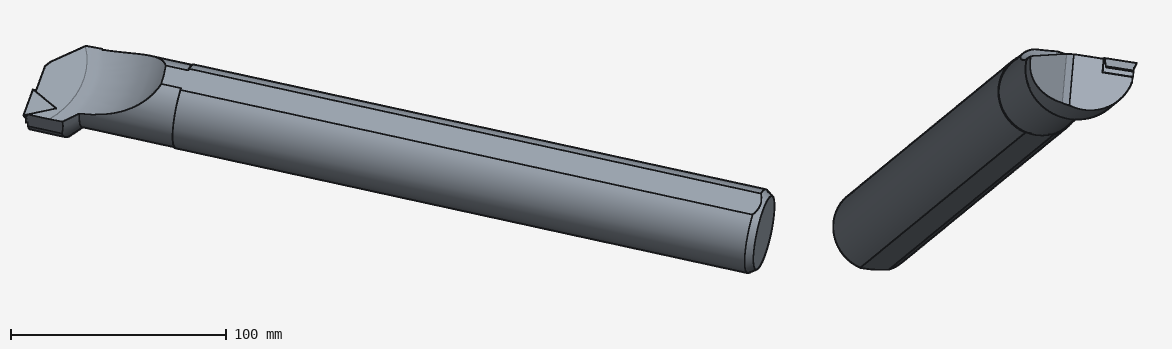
import cadquery as cq
import math

length = 350.0
shank_radius = 20.0
neck_radius = 19.5
shank_start = 70.0
flat_height = 18.72
end_chamfer_length = 3.5
end_chamfer_depth = 2.5

head_front = 1.58
head_radius = 23.28
head_offset = shank_radius - head_radius
cone_end = 25.0
head_reach = head_radius - head_offset
rake_tilt = 5.0
rake_height = 2.8

scoop_start = 21.0
scoop_radius = 56.0
scoop_angle = 55.0
scoop_sweep_radius = 42.0
scoop_turn = 120.0

corner_y = 3.0
strip_run = 1.8
strip_rise = 3.0
corner_far = 42.0

insert_side = 15.8
insert_height = insert_side * math.sqrt(3) / 2
tip_y = -27.0
insert_thickness = 4.2
insert_relief = 11.0
pad_front = 0.7
pad_depth = 6.5
side_facet_y = -26.0

clearance = 105.0


def rake_plane(x=0.0):
    """Plane of the rake face, with its origin straight above the bar axis."""
    tilt = math.radians(rake_tilt)
    return cq.Plane((x, 0, rake_height), (1, 0, 0), (0, -math.sin(tilt), math.cos(tilt)))


def rod(x_start, x_end, radius, y=0.0):
    return cq.Workplane("YZ", origin=(x_start, y, 0)).circle(radius).extrude(x_end - x_start)


def make_shank():
    profile = [
        (shank_start, 0),
        (shank_start, shank_radius),
        (length - end_chamfer_length, shank_radius),
        (length, shank_radius - end_chamfer_depth),
        (length, 0),
    ]
    shank = cq.Workplane("XY").polyline(profile).close().revolve(360, (0, 0), (1, 0))
    flats = cq.Workplane("XY").box(2 * length, clearance, 2 * flat_height)
    return shank.intersect(flats)


def make_neck():
    neck = rod(head_front, shank_start, neck_radius)
    upper_flat = (
        cq.Workplane("XY", origin=(0, 0, flat_height)).rect(2 * length, clearance).extrude(clearance)
    )
    return neck.cut(upper_flat)


def make_head():
    """Eccentric cylinder trimmed by a 45 degree cone about the bar axis."""
    cone_start = cone_end - (head_reach - neck_radius)
    envelope = [
        (pad_front, 0),
        (pad_front, head_reach),
        (cone_start, head_reach),
        (cone_end, neck_radius),
        (cone_end, 0),
    ]
    back_cone = cq.Workplane("XY").polyline(envelope).close().revolve(360, (0, 0), (1, 0))
    return rod(pad_front, cone_end, head_radius, head_offset).intersect(back_cone)


def make_scoop():
    """Space above the rake face, swept about an axis square to that face."""
    angle = math.radians(scoop_angle)
    middle = angle / 2

    def arc_point(a):
        return (
            scoop_sweep_radius + scoop_radius * math.sin(a),
            scoop_radius * (1 - math.cos(a)),
        )

    end = arc_point(angle)
    plane = rake_plane(scoop_start - scoop_sweep_radius)
    half_section = cq.Plane(plane.origin, plane.xDir, plane.yDir * -1)
    return (
        cq.Workplane(half_section)
        .lineTo(scoop_sweep_radius, 0)
        .threePointArc(arc_point(middle), end)
        .lineTo(0, end[1])
        .close()
        .revolve(scoop_turn, (0, 0), (0, 1))
        .rotate(
            plane.origin.toTuple(),
            (plane.origin + plane.zDir).toTuple(),
            -scoop_turn / 2,
        )
    )


def make_corner_relief():
    """Prism square to the rake face that leaves a narrow strip and a 45 degree corner."""
    strip_end = (head_front + strip_run, corner_y + strip_rise)
    outline = [
        (head_front, corner_y),
        strip_end,
        (strip_end[0] + corner_far, strip_end[1] + corner_far),
        (-corner_far, strip_end[1] + corner_far),
        (-corner_far, corner_y),
    ]
    return cq.Workplane(rake_plane()).polyline(outline).close().extrude(clearance, both=True)


def make_front_relief():
    """Sets the front face back, leaving the pad below the insert standing proud."""
    slab = (
        cq.Workplane(rake_plane())
        .center(head_front - clearance / 2, 0)
        .rect(clearance, clearance)
        .extrude(clearance, both=True)
    )
    pad_zone = (
        cq.Workplane(rake_plane())
        .center(0, tip_y + insert_side - clearance / 2)
        .rect(clearance, clearance)
        .extrude(-pad_depth)
    )
    return slab.cut(pad_zone)


def make_side_facet():
    """Block square to the rake face that flattens the side of the head under the insert."""
    return (
        cq.Workplane(rake_plane())
        .center(0, side_facet_y - clearance / 2)
        .rect(2 * cone_end, clearance)
        .extrude(clearance, both=True)
    )


def make_insert():
    """Triangular cutting insert, tapered for side relief, top face in the rake face."""
    corners = [
        (0, tip_y),
        (insert_height, tip_y + insert_side / 2),
        (0, tip_y + insert_side),
    ]
    return (
        cq.Workplane(rake_plane())
        .polyline(corners)
        .close()
        .extrude(-insert_thickness, taper=insert_relief)
    )


insert = make_insert()
bar = (
    make_shank()
    .union(make_neck())
    .union(make_head())
    .cut(make_scoop())
    .cut(make_corner_relief())
    .cut(make_front_relief())
    .cut(make_side_facet())
    .cut(insert)
)
result = cq.Compound.makeCompound([*bar.solids().vals(), insert.val()])